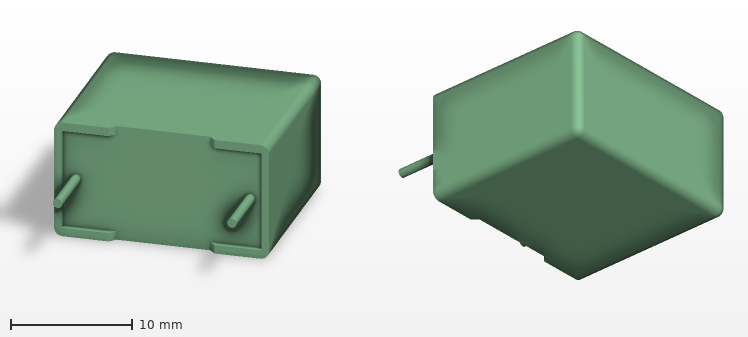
import cadquery as cq

body_width = 18.5
body_thickness = 10.2
overall_depth = 21.1
lead_length = 5.0
body_depth = overall_depth - lead_length
edge_radius = 0.75

side_wall = 0.65
broad_wall = 0.75
recess_depth = 0.55
notch_floor_width = 8.1
notch_mouth_width = 9.1

lead_diameter = 0.8
lead_pitch = 15.0

recess_width = body_width - 2 * side_wall
recess_thickness = body_thickness - 2 * broad_wall


def make_block(width, depth, thickness):
    """Box centred in X and Z that runs from the rim plane toward +Y."""
    return cq.Workplane("XY").box(width, depth, thickness, centered=(True, False, True))


def make_notch():
    """Trapezoid that cuts through both broad walls and widens toward the rim."""
    return (
        cq.Workplane("XY")
        .polyline([
            (-notch_mouth_width / 2, 0),
            (notch_mouth_width / 2, 0),
            (notch_floor_width / 2, recess_depth),
            (-notch_floor_width / 2, recess_depth),
        ])
        .close()
        .extrude(body_thickness / 2, both=True)
    )


def make_body():
    """Capacitor body, rounded except at the rim, with a shallow recess for the leads."""
    body = make_block(body_width, body_depth, body_thickness)
    body = body.edges("|Y or >Y").fillet(edge_radius)
    body = body.cut(make_block(recess_width, recess_depth, recess_thickness))
    return body.cut(make_notch())


def make_lead(x):
    """Straight round wire that stands on the recess floor and points to -Y."""
    return (
        cq.Workplane("XZ", origin=(x, recess_depth, 0))
        .circle(lead_diameter / 2)
        .extrude(recess_depth + lead_length)
    )


body = make_body()
leads = [make_lead(side * lead_pitch / 2) for side in (-1, 1)]

result = cq.Compound.makeCompound([body.val(), *[lead.val() for lead in leads]])